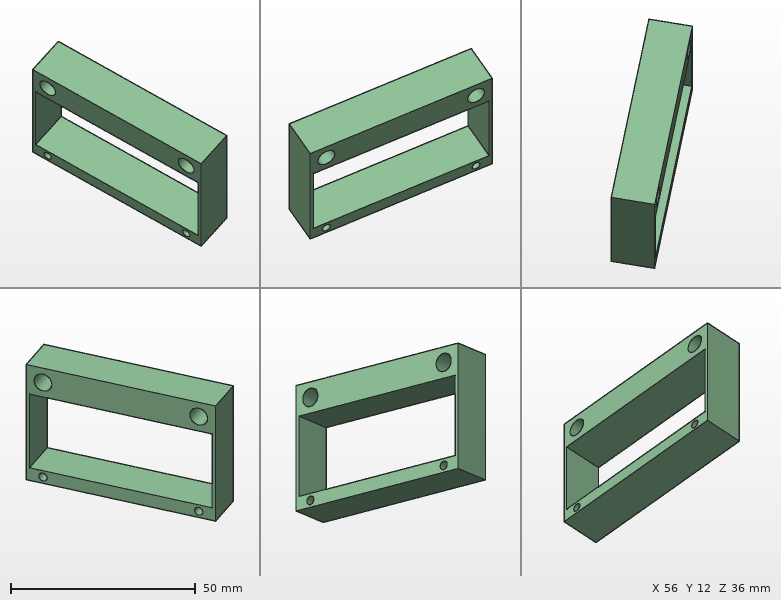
import cadquery as cq

width = 56.0
depth = 12.0
height = 36.0

side_wall = 1.0
bottom_rail = 4.0
window_height = 23.0

hole_edge_inset = 5.0
upper_hole_diameter = 5.2
upper_hole_drop = 4.5
lower_hole_diameter = 2.4

hole_x = width / 2 - hole_edge_inset
upper_hole_z = height - upper_hole_drop
lower_hole_z = bottom_rail / 2


def hole_pair(z, diameter):
    """Two cylinders along Y, mirrored about the middle of the frame."""
    return (
        cq.Workplane("XZ")
        .pushPoints([(-hole_x, z), (hole_x, z)])
        .circle(diameter / 2)
        .extrude(-depth)
    )


block = cq.Workplane("XY").box(width, depth, height, centered=(True, False, False))

window = (
    cq.Workplane("XY")
    .box(width - 2 * side_wall, depth, window_height, centered=(True, False, False))
    .translate((0, 0, bottom_rail))
)

result = (
    block.cut(window)
    .cut(hole_pair(upper_hole_z, upper_hole_diameter))
    .cut(hole_pair(lower_hole_z, lower_hole_diameter))
)